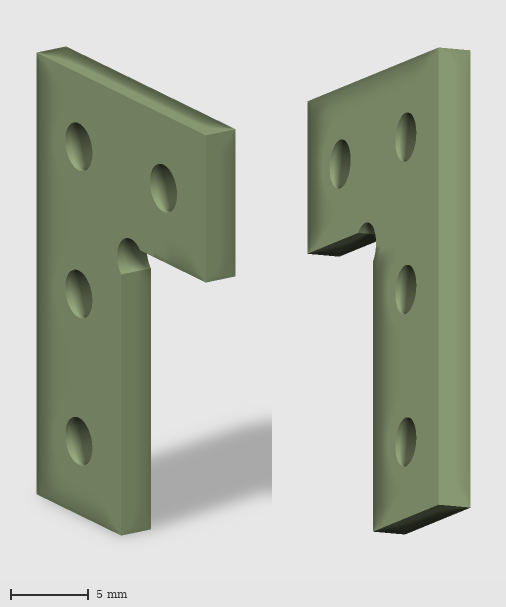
import cadquery as cq
import math

pitch = 10.0
thickness = 2.28
hole_diameter = 3.2
relief_diameter = 3.2
squares_along_x = 2
squares_along_z = 3

length_x = squares_along_x * pitch
height_z = squares_along_z * pitch
corner_x = pitch
corner_z = height_z - pitch

relief_offset = relief_diameter / 2 / math.sqrt(2)
relief_center = (corner_x + relief_offset, corner_z - relief_offset)

long_arm_holes = [(pitch / 2, (i + 0.5) * pitch) for i in range(squares_along_z)]
short_arm_holes = [((i + 0.5) * pitch, height_z - pitch / 2) for i in range(1, squares_along_x)]


def make_plate():
    """L-shaped plate with its front face on Y = 0 and its body towards +Y."""
    outline = [
        (0, 0),
        (corner_x, 0),
        (corner_x, corner_z),
        (length_x, corner_z),
        (length_x, height_z),
        (0, height_z),
    ]
    return cq.Workplane("XZ").polyline(outline).close().extrude(-thickness)


def make_through_cutter(centers, diameter):
    """Round cutters through the full plate thickness."""
    return cq.Workplane("XZ").pushPoints(centers).circle(diameter / 2).extrude(-thickness)


plate = make_plate()
plate = plate.cut(make_through_cutter(long_arm_holes + short_arm_holes, hole_diameter))
result = plate.cut(make_through_cutter([relief_center], relief_diameter))